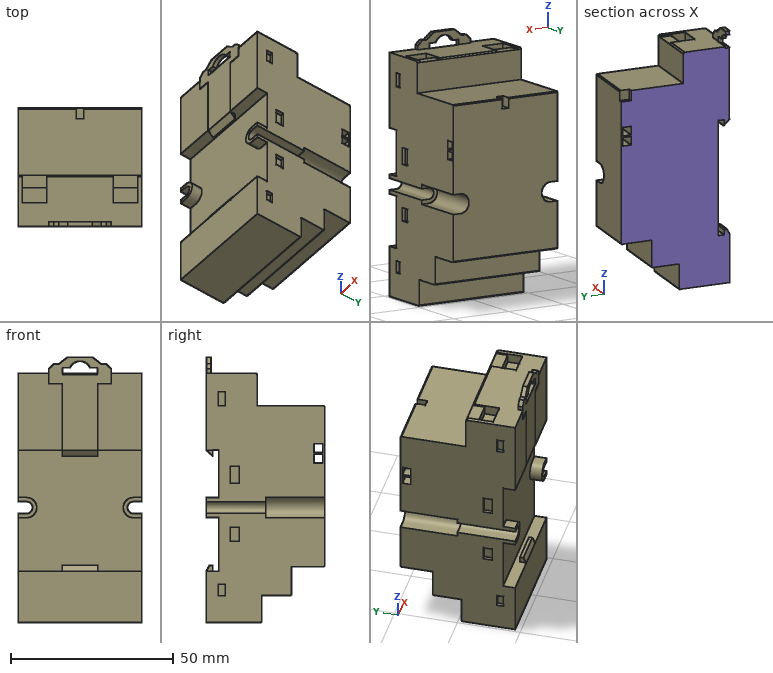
import cadquery as cq

width = 38.1
depth = 36.6
total_height = 81.8
half_width = width / 2

terminal_top = 76.9
terminal_depth = 15.8
cover_top = 66.8
cover_bottom = 17.2
middle_depth = 26.3
middle_bottom = 8.3
foot_depth = 17.2
terminal_chamfer = 0.5
front_chamfer = 0.3

rail_depth = 3.85
rail_bottom = 15.9
rail_top = 53.1
hook_back = 2.05
hook_half_width = 5.5
upper_hook_drop = 1.9
lower_hook_rise = 1.7
lower_hook_land = 1.1

clip_recess = 0.1
clip_back = 1.55
head_half_width = 9.65
head_bottom = 73.5
head_corner_z = 78.2
shoulder_z = 79.7
shoulder_outer = 8.1
shoulder_inner = 6.55
tip_half_width = 3.85
window_half_width = 5.3
window_bottom = 76.4
window_top = 78.4
window_arch_half_width = 3.1
window_arch_top = 80.5

screw_z = 35.4
screw_inset = 2.6
screw_radius = 1.8
screw_head_radius = 3.1
screw_head_back = 18.4

opening_side_gap = 1.3
opening_width = 7.45
opening_back = 7.4
opening_step = 12.0
opening_ledge_drop = 0.5
opening_well_drop = 3.0

seal_size = 2.6
seal_back = 33.3
seal_hole_bottoms = (49.15, 52.4)
notch_width = 2.3
notch_size = 3.3

pocket_depth = 1.15
side_pockets = (
    (3.8, 5.9, 8.2, 11.9),
    (7.4, 10.2, 25.1, 29.3),
    (7.4, 10.2, 42.9, 48.2),
    (3.8, 5.9, 66.8, 71.1),
)


def box(x0, x1, y0, y1, z0, z1):
    """Axis-aligned block between two opposite corners."""
    return cq.Workplane("XY").box(x1 - x0, y1 - y0, z1 - z0, centered=False).translate((x0, y0, z0))


def side_extrusion(points, half_length):
    """Extrude a (Y, Z) outline symmetrically along X."""
    return cq.Workplane("YZ").polyline(points).close().extrude(half_length, both=True)


def housing():
    """Stepped housing with a rail channel and chamfered front corners."""
    body = side_extrusion(
        [
            (0, 0),
            (foot_depth, 0),
            (foot_depth, middle_bottom),
            (middle_depth, middle_bottom),
            (middle_depth, cover_bottom),
            (depth, cover_bottom),
            (depth, cover_top),
            (terminal_depth, cover_top),
            (terminal_depth, terminal_top),
            (0, terminal_top),
            (0, rail_top),
            (rail_depth, rail_top),
            (rail_depth, rail_bottom),
            (0, rail_bottom),
        ],
        half_width,
    )
    front_corners = (
        (terminal_depth, terminal_top, terminal_chamfer),
        (depth, cover_top, front_chamfer),
        (depth, cover_bottom, front_chamfer),
        (middle_depth, middle_bottom, front_chamfer),
        (foot_depth, 0, front_chamfer),
    )
    for y, z, size in front_corners:
        body = body.edges(cq.NearestToPointSelector((0, y, z))).chamfer(size)
    return body


def screw_slot(radius, y0, y1):
    """Left-hand slot, open at the side and rounded at its inner end."""
    arc_x = -half_width + screw_inset
    return (
        cq.Workplane("XZ", origin=(0, y0, screw_z))
        .moveTo(-half_width, -radius)
        .lineTo(arc_x, -radius)
        .threePointArc((arc_x + radius, 0), (arc_x, radius))
        .lineTo(-half_width, radius)
        .close()
        .extrude(y0 - y1)
    )


def clip_outline():
    """(X, Z) outline of the clip: narrow shaft below, wide stepped head above."""
    right_side = [
        (hook_half_width, rail_top),
        (hook_half_width, head_bottom),
        (head_half_width, head_bottom),
        (head_half_width, head_corner_z),
        (shoulder_outer, shoulder_z),
        (shoulder_inner, shoulder_z),
        (tip_half_width, total_height),
    ]
    left_side = [(-x, z) for x, z in reversed(right_side)]
    return right_side + left_side


def clip_plate(y0, y1):
    """Slab with the clip outline between two Y positions."""
    return cq.Workplane("XZ", origin=(0, y0, 0)).polyline(clip_outline()).close().extrude(y0 - y1)


def clip_window():
    """Slot for a screwdriver through the head, arched at the top."""
    return (
        cq.Workplane("XZ")
        .moveTo(-window_half_width, window_bottom)
        .lineTo(window_half_width, window_bottom)
        .lineTo(window_half_width, window_top)
        .lineTo(window_arch_half_width, window_top)
        .threePointArc((0, window_arch_top), (-window_arch_half_width, window_top))
        .lineTo(-window_half_width, window_top)
        .close()
        .extrude(-clip_back)
    )


def upper_hook():
    """Sloped hook at the lower end of the clip shaft."""
    return side_extrusion(
        [(clip_recess, rail_top), (hook_back, rail_top), (hook_back, rail_top - upper_hook_drop)],
        hook_half_width,
    )


def lower_hook():
    """Fixed hook on the lower wall of the rail channel."""
    tip = rail_bottom + lower_hook_rise
    return side_extrusion(
        [(0, rail_bottom), (hook_back, rail_bottom), (hook_back, tip), (hook_back - lower_hook_land, tip)],
        hook_half_width,
    )


def terminal_opening():
    """Left-hand opening: a shallow ledge at the front with a deeper well behind it."""
    x0 = -half_width + opening_side_gap
    x1 = x0 + opening_width
    ledge = box(x0, x1, opening_back, terminal_depth, terminal_top - opening_ledge_drop, terminal_top)
    well = box(x0, x1, opening_back, opening_step, terminal_top - opening_well_drop, terminal_top)
    return ledge.union(well)


def both_sides(left):
    """A left-hand shape together with its mirror image on the right."""
    return left.union(left.mirror("YZ"))


result = housing()
result = result.cut(clip_plate(0, clip_recess)).union(clip_plate(clip_recess, clip_back))
result = result.cut(clip_window()).union(upper_hook()).union(lower_hook())

result = result.union(both_sides(screw_slot(screw_head_radius, 0, rail_depth)))
result = result.cut(both_sides(screw_slot(screw_radius, 0, depth)))
result = result.cut(both_sides(screw_slot(screw_head_radius, screw_head_back, depth)))

result = result.cut(both_sides(terminal_opening()))
for y0, y1, z0, z1 in side_pockets:
    pocket = box(-half_width, -half_width + pocket_depth, y0, y1, z0, z1)
    result = result.cut(both_sides(pocket))

for z0 in seal_hole_bottoms:
    result = result.cut(box(-half_width, half_width, seal_back, seal_back + seal_size, z0, z0 + seal_size))
result = result.cut(
    box(-notch_width / 2, notch_width / 2, depth - notch_size, depth, cover_top - notch_size, cover_top)
)